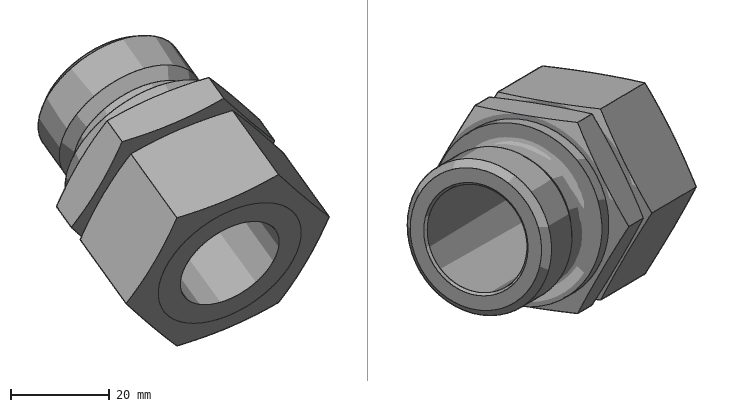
import cadquery as cq
import math


overall_length = 52.0
stud_length = 18.0
collar_length = 3.0
body_hex_length = 8.0
nut_gap = 2.0
collar_end = stud_length + collar_length
body_hex_end = collar_end + body_hex_length
nut_start = body_hex_end + nut_gap
nut_length = overall_length - nut_start

thread_radius = 16.65
stud_chamfer = 1.5
thread_length = 10.4
relief_radius = 15.0
relief_taper_angle = 30.0
relief_start = thread_length + (thread_radius - relief_radius) / math.tan(math.radians(relief_taper_angle))
collar_radius = 19.5
sealing_edge_radius = 18.55
recess_angle = 8.0
recess_depth = (sealing_edge_radius - relief_radius) * math.tan(math.radians(recess_angle))
relief_fillet = 1.2
spigot_radius = thread_radius

bore_radius = 11.5
bore_chamfer = 0.5

across_flats = 41.0
across_corners = across_flats / math.cos(math.radians(30.0))
hex_chamfer_angle = 15.0


def hexagon(start, length):
    """Hexagonal prism along X, corners toward +-Y, with both ends turned to a shallow cone."""
    prism = (
        cq.Workplane("YZ", origin=(start, 0, 0))
        .polygon(6, across_corners)
        .extrude(length)
    )
    flat_radius = across_flats / 2
    corner_radius = across_corners / 2
    drop = (corner_radius - flat_radius) * math.tan(math.radians(hex_chamfer_angle))
    end = start + length
    turned_envelope = (
        cq.Workplane("XY")
        .polyline([
            (start, 0),
            (start, flat_radius),
            (start + drop, corner_radius),
            (end - drop, corner_radius),
            (end, flat_radius),
            (end, 0),
        ])
        .close()
        .revolve(360, (0, 0, 0), (1, 0, 0))
    )
    return prism.intersect(turned_envelope)


def turned_stud():
    """Stud with thread relief, collar with a dished sealing face, and the spigot for the nut."""
    recess_floor = stud_length + recess_depth
    blank = (
        cq.Workplane("XY")
        .polyline([
            (0, 0),
            (0, thread_radius - stud_chamfer),
            (stud_chamfer, thread_radius),
            (thread_length, thread_radius),
            (relief_start, relief_radius),
            (recess_floor, relief_radius),
            (stud_length, sealing_edge_radius),
            (stud_length, collar_radius),
            (collar_end, collar_radius),
            (collar_end, spigot_radius),
            (overall_length, spigot_radius),
            (overall_length, 0),
        ])
        .close()
        .revolve(360, (0, 0, 0), (1, 0, 0))
    )
    recess_corner = cq.selectors.BoxSelector(
        (recess_floor - relief_fillet / 2, -collar_radius, -collar_radius),
        (recess_floor + relief_fillet / 2, collar_radius, collar_radius),
        boundingbox=True,
    )
    return blank.edges(recess_corner).edges("%CIRCLE").fillet(relief_fillet)


def through_bore():
    """Bore cutter with a chamfered mouth at the stud end."""
    mouth_radius = bore_radius + bore_chamfer
    return (
        cq.Workplane("XY")
        .polyline([
            (0, 0),
            (0, mouth_radius),
            (bore_chamfer, bore_radius),
            (overall_length, bore_radius),
            (overall_length, 0),
        ])
        .close()
        .revolve(360, (0, 0, 0), (1, 0, 0))
    )


def make_fitting_body():
    body_hex = hexagon(collar_end, body_hex_length)
    return turned_stud().union(body_hex).cut(through_bore())


def make_union_nut():
    """Hexagon nut sleeve fitting closely over the spigot."""
    spigot_hole = (
        cq.Workplane("YZ", origin=(nut_start, 0, 0))
        .circle(spigot_radius)
        .extrude(nut_length)
    )
    return hexagon(nut_start, nut_length).cut(spigot_hole)


fitting_body = make_fitting_body()
union_nut = make_union_nut()

result = cq.Compound.makeCompound([fitting_body.val(), union_nut.val()])